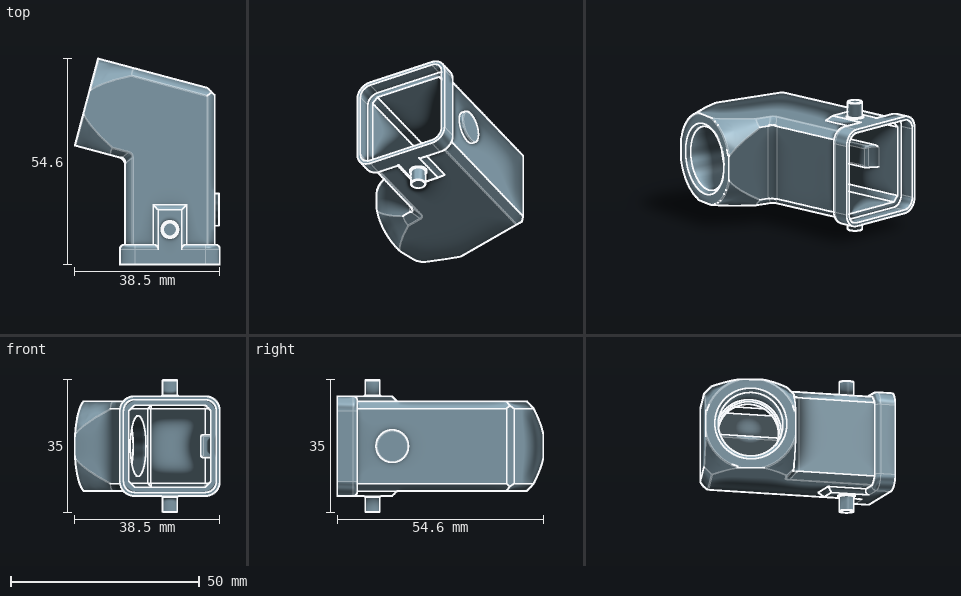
import cadquery as cq
import math

body_width = 23.85
half = body_width / 2
neck_tilt = 15.0
total_length = 54.6
total_width = 38.45
body_chamfer = 2.0
bevel_rounding = 0.45
inner_corner_radius = 2.0
match_tolerance = 0.05

mouth_radius = 12.35
cone_half_angle = 18.0
cone_length = 10.9
trim_radius = 19.1
mouth_rounding = 0.35

flange_width = 26.5
flange_height = 5.35
flange_corner_radius = 3.9
flange_rounding = 1.2
recess_width = 24.55
recess_depth = 4.0
recess_corner_radius = 2.95

cavity_width = 21.7
cavity_edge_chamfer = 1.5
ceiling_chamfer = 1.0
throat_chamfer = 0.65
ceiling_side = 10.65
ceiling_corner_drop = 1.1
throat_depth = 14.2
cavity_overrun = 5.45

bore_radius = 8.55
bore_depth = 10.65
throat_radius = 8.0
bore_chamfer = 1.0

pin_y = 9.35
pin_radius = 1.95
pin_span = 35.0
pin_tip_z = pin_span / 2
pin_tip_chamfer = 0.15
collar_radius = 2.3
collar_height = 0.3
pad_half_width = 3.1
pad_end_y = 14.5
pad_flank_angle = 45.0

knob_radius = 4.3
knob_y = 14.6
knob_face_x = 13.05
knob_rounding = 0.3
rib_half_width = 3.05
rib_face_x = 8.15
rib_foot_y = 10.75
rib_foot_radius = 2.0
rib_rounding = 0.75
rib_foot_rounding = 0.45

tilt = math.radians(neck_tilt)
mouth_tip_x = flange_width / 2 - total_width
mouth_x = mouth_tip_x + half * math.sin(tilt)
mouth_y = total_length - half * math.cos(tilt)
neck_plane = cq.Plane(
    origin=(mouth_x, mouth_y, 0),
    xDir=(math.sin(tilt), math.cos(tilt), 0),
    normal=(math.cos(tilt), -math.sin(tilt), 0),
)


def neck_point(depth, side):
    """XY position of a point given along and across the neck."""
    x = mouth_x + depth * math.cos(tilt) + side * math.sin(tilt)
    y = mouth_y - depth * math.sin(tilt) + side * math.cos(tilt)
    return (x, y)


def neck_y(x, side):
    """Y of the line parallel to the neck axis at the given side, where it crosses x."""
    return mouth_y + side / math.cos(tilt) - (x - mouth_x) * math.tan(tilt)


def symmetric_prism(points, half_height):
    """Closed XY outline extruded equally to both sides of Z = 0."""
    return cq.Workplane("XY").polyline(points).close().extrude(half_height, both=True)


def rounded_block(width, height, corner_radius):
    """Square block along +Y from Y = 0 with rounded corners."""
    block = cq.Workplane("XZ").rect(width, width).extrude(-height)
    return block.edges("|Y").fillet(corner_radius)


def make_body():
    back_corner = (half, neck_y(half, half))
    inner_corner = (-half, neck_y(-half, -half))
    outline = [
        (-half, 0),
        (half, 0),
        back_corner,
        neck_point(0, half),
        neck_point(0, -half),
        inner_corner,
    ]
    body = symmetric_prism(outline, half)

    def is_bevelled(edge):
        middle = edge.Center()
        at_open_end = middle.y < flange_height / 2
        at_mouth = math.hypot(middle.x - mouth_x, middle.y - mouth_y) < half / 2
        return not at_open_end and not at_mouth

    body = body.faces("|Z").edges().filter(is_bevelled).chamfer(body_chamfer)

    def rises_from_inner_corner(edge):
        touches_corner = any(
            math.dist((vertex.X, vertex.Y), inner_corner) < match_tolerance for vertex in edge.Vertices()
        )
        return touches_corner and edge.BoundingBox().zlen > match_tolerance

    body = body.edges().filter(rises_from_inner_corner).fillet(inner_corner_radius)
    body = body.faces("|Z").edges().filter(is_bevelled).fillet(bevel_rounding)

    cut_size = 2 * body_chamfer
    cut_x = half - body_chamfer
    cut_y = neck_y(cut_x, half)
    corner_cut = symmetric_prism(
        [(cut_x, cut_y), (cut_x + cut_size, cut_y - cut_size), (cut_x + cut_size, cut_y)], half
    )
    body = body.cut(corner_cut)

    cone_end_radius = mouth_radius + cone_length * math.tan(math.radians(cone_half_angle))
    cone = cq.Workplane(cq.Solid.makeCone(
        mouth_radius, cone_end_radius, cone_length, neck_plane.origin, neck_plane.zDir))
    trim = cq.Workplane(neck_plane).circle(trim_radius).extrude(cone_length)
    body = body.cut(trim.cut(cone))
    return body.faces("%CONE").edges().fillet(mouth_rounding)


def make_flange():
    flange = rounded_block(flange_width, flange_height, flange_corner_radius)
    return flange.faces(">Y").edges().fillet(flange_rounding)


def make_cavity():
    """Hood cavity: a bevelled square shaft closed by the slanted throat and ceiling."""
    wall = cavity_width / 2
    shaft = cq.Workplane("XZ").rect(cavity_width, cavity_width).extrude(-total_length)
    shaft = shaft.edges("|Y").chamfer(cavity_edge_chamfer)

    far_x = wall + cavity_overrun
    corner_x = wall - cavity_edge_chamfer
    corner_y = neck_y(corner_x, ceiling_side)
    corner_slope = ceiling_corner_drop / cavity_edge_chamfer
    closing_outline = [
        (far_x, -cavity_overrun),
        (far_x, corner_y - corner_slope * (far_x - corner_x)),
        (corner_x, corner_y),
        neck_point(throat_depth + throat_chamfer, ceiling_side),
        neck_point(throat_depth, ceiling_side - throat_chamfer),
        neck_point(throat_depth, -total_length),
    ]
    closing = symmetric_prism(closing_outline, wall).faces("|Z").edges().chamfer(ceiling_chamfer)
    return shaft.intersect(closing)


def make_bore():
    bore = cq.Workplane(neck_plane).circle(bore_radius).extrude(bore_depth)
    throat = cq.Workplane(neck_plane).circle(throat_radius).extrude(throat_depth + cavity_edge_chamfer)
    countersink = cq.Workplane(cq.Solid.makeCone(
        bore_radius + bore_chamfer, bore_radius, bore_chamfer, neck_plane.origin, neck_plane.zDir))
    return bore.union(throat).union(countersink)


def make_rib():
    """Rib along the inside of the +X wall, with a hollow foot towards the open end."""
    wall = cavity_width / 2
    foot_arc = rib_foot_radius * (1 - math.sqrt(0.5))
    rib = (
        cq.Workplane("XY")
        .moveTo(half, rib_foot_y)
        .lineTo(wall, rib_foot_y)
        .threePointArc(
            (wall - foot_arc, rib_foot_y + rib_foot_radius - foot_arc),
            (wall - rib_foot_radius, rib_foot_y + rib_foot_radius))
        .lineTo(rib_face_x, rib_foot_y + rib_foot_radius)
        .lineTo(rib_face_x, total_length)
        .lineTo(half, total_length)
        .close()
        .extrude(rib_half_width, both=True)
    )
    rib = rib.faces("<X").edges("not >Y").fillet(rib_rounding)
    return rib.faces("|Z").edges("%CIRCLE").fillet(rib_foot_rounding)


def make_pad_with_pin():
    """Pad with sloped flanks on the +Z face, carrying a collared pin."""
    pad_top = flange_width / 2
    slope = pad_top - half
    base_length = pad_end_y + slope
    pad = (
        cq.Workplane("XY", origin=(0, base_length / 2, half))
        .rect(2 * (pad_half_width + slope), base_length)
        .extrude(slope, taper=pad_flank_angle)
    )
    pin = cq.Workplane("XY", origin=(0, pin_y, half)).circle(pin_radius).extrude(pin_tip_z - half)
    pin = pin.faces(">Z").chamfer(pin_tip_chamfer)
    collar = cq.Workplane(cq.Solid.makeCone(
        collar_radius, pin_radius, collar_height, cq.Vector(0, pin_y, pad_top)))
    return pad.union(pin).union(collar)


def make_knob():
    root_x = cavity_width / 2
    knob = cq.Workplane("YZ", origin=(root_x, knob_y, 0)).circle(knob_radius).extrude(knob_face_x - root_x)
    return knob.faces(">X").edges().fillet(knob_rounding)


pad_with_pin = make_pad_with_pin()
outside = make_body().union(make_flange()).union(make_knob())
outside = outside.union(pad_with_pin).union(pad_with_pin.mirror("XY"))

recess = rounded_block(recess_width, recess_depth, recess_corner_radius)
inside = make_cavity().cut(make_rib()).union(recess).union(make_bore())

result = outside.cut(inside)